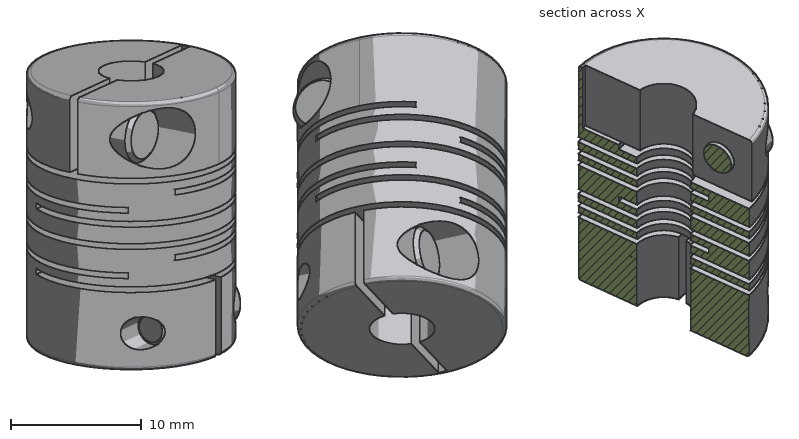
import cadquery as cq

HEIGHT = 21.5
DIAMETER = 16.0
RADIUS = DIAMETER / 2
BORE_RADIUS = 2.5
RIM_FILLET = 0.3

SLIT_WIDTH = 0.45
FIRST_SLIT_DEPTH = 6.3
PAIR_GAP = 1.12
PAIR_PITCH = 2.35
GROUP_PITCH = 5.25
SLIT_REACH = 4.2
LAST_SLIT_DEPTH = FIRST_SLIT_DEPTH + GROUP_PITCH + PAIR_PITCH + PAIR_GAP

UPPER_HUB_LENGTH = FIRST_SLIT_DEPTH - SLIT_WIDTH / 2
LOWER_HUB_LENGTH = HEIGHT - LAST_SLIT_DEPTH - SLIT_WIDTH / 2

SLIT_DIRECTIONS = ((-90, 90), (180, 0))

CLAMP_SLOT_WIDTH = 0.7
CLAMP_SLOT_BLIND_REACH = 7.57

SCREW_OFFSET = 5.0
SCREW_DEPTH = 2.99
SCREW_RADIUS = 1.31
SCREW_TIP = -4.9
TIP_CHAMFER = 0.25
HEAD_RADIUS = 2.24
HEAD_SEAT = 2.05
HEAD_END = 4.54
HEAD_CHAMFER = 0.35
COUNTERBORE_RADIUS = 2.43


def rod_along_x(radius, start, end):
    """Cylinder from start to end along an axis parallel to X through the origin."""
    return cq.Workplane("YZ").workplane(offset=start).circle(radius).extrude(end - start)


def slit(depth, direction):
    """Horizontal cut, open toward the given direction."""
    length = SLIT_REACH + DIAMETER
    cutter = cq.Workplane("XY").box(length, 2 * DIAMETER, SLIT_WIDTH)
    cutter = cutter.translate((length / 2 - SLIT_REACH, 0, HEIGHT - depth))
    return cutter.rotate((0, 0, 0), (0, 0, 1), direction)


def to_lower_hub(upper_tool):
    """Mirror a top-hub tool top to bottom and turn it a quarter about Z."""
    mirrored = upper_tool.mirror("XY").translate((0, 0, HEIGHT))
    return mirrored.rotate((0, 0, 0), (0, 0, 1), 90)


def clamp_slot(hub_length):
    """Slot from the top face down to a slit; open at -Y and blind at +Y."""
    length = CLAMP_SLOT_BLIND_REACH + DIAMETER
    slot = cq.Workplane("XY").box(CLAMP_SLOT_WIDTH, length, hub_length)
    return slot.translate((0, CLAMP_SLOT_BLIND_REACH - length / 2, HEIGHT - hub_length / 2))


def place_on_screw_axis(tool):
    return tool.translate((0, -SCREW_OFFSET, HEIGHT - SCREW_DEPTH))


def screw_hole():
    """Through hole along X with a counterbore open at +X."""
    hole = rod_along_x(SCREW_RADIUS, -DIAMETER, DIAMETER)
    counterbore = rod_along_x(COUNTERBORE_RADIUS, HEAD_SEAT, DIAMETER)
    return place_on_screw_axis(hole.union(counterbore))


def screw():
    """Cap screw with its head toward +X."""
    shank = rod_along_x(SCREW_RADIUS, SCREW_TIP, HEAD_SEAT).faces("<X").chamfer(TIP_CHAMFER)
    head = rod_along_x(HEAD_RADIUS, HEAD_SEAT, HEAD_END).faces(">X").chamfer(HEAD_CHAMFER)
    return place_on_screw_axis(shank.union(head))


body = cq.Workplane("XY").circle(RADIUS).extrude(HEIGHT)
body = body.faces("<Z or >Z").edges().fillet(RIM_FILLET)
body = body.cut(cq.Workplane("XY").circle(BORE_RADIUS).extrude(HEIGHT))

for group in range(2):
    for pair, directions in enumerate(SLIT_DIRECTIONS):
        for member, direction in enumerate(directions):
            slit_depth = FIRST_SLIT_DEPTH + group * GROUP_PITCH + pair * PAIR_PITCH + member * PAIR_GAP
            body = body.cut(slit(slit_depth, direction))

body = body.cut(clamp_slot(UPPER_HUB_LENGTH))
body = body.cut(to_lower_hub(clamp_slot(LOWER_HUB_LENGTH)))

body = body.cut(screw_hole()).union(screw())
body = body.cut(to_lower_hub(screw_hole())).union(to_lower_hub(screw()))

result = body